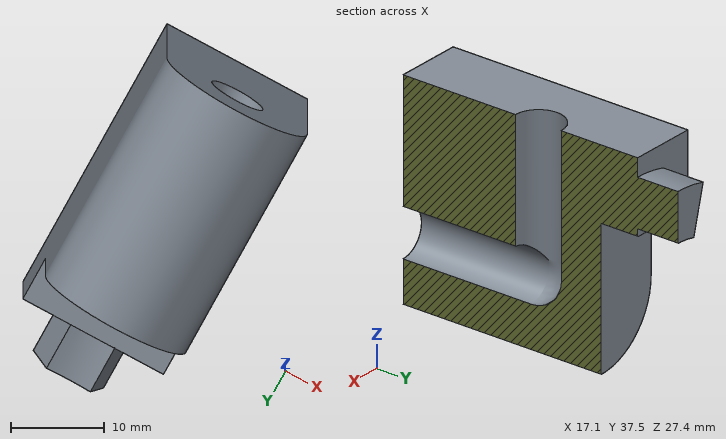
import cadquery as cq
import math

width = 17.1
round_radius = width / 2
total_height = 27.35
top_z = total_height - round_radius
body_length = 32.0

lower_length = 27.0
step_z = top_z / 2

tab_length = 5.5
tab_outer_radius = 16.5
tab_inner_radius = 10.3
tab_half_angle = math.radians(15)

bore_diameter = 6.2
bore_radius = bore_diameter / 2
bore_exit_y = lower_length - round_radius
bend_radius = 1.0
bend_angle = 90


def make_body():
    """D-shaped profile along Y, with the step removed under the back end."""
    body = (
        cq.Workplane("XZ")
        .moveTo(-round_radius, 0)
        .lineTo(-round_radius, top_z)
        .lineTo(round_radius, top_z)
        .lineTo(round_radius, 0)
        .threePointArc((0, -round_radius), (-round_radius, 0))
        .close()
        .extrude(-body_length)
    )
    step = cq.Workplane("XY").box(
        width,
        body_length - lower_length,
        step_z + round_radius,
        centered=(True, False, False),
    ).translate((0, lower_length, -round_radius))
    return body.cut(step)


def sector_point(radius, angle):
    """Point in the XZ plane at an angle measured from +Z."""
    return (radius * math.sin(angle), radius * math.cos(angle))


def make_tab():
    """Ring sector with radial sides, standing out from the back face."""
    return (
        cq.Workplane("XZ", origin=(0, body_length, 0))
        .moveTo(*sector_point(tab_inner_radius, -tab_half_angle))
        .lineTo(*sector_point(tab_outer_radius, -tab_half_angle))
        .threePointArc((0, tab_outer_radius), sector_point(tab_outer_radius, tab_half_angle))
        .lineTo(*sector_point(tab_inner_radius, tab_half_angle))
        .threePointArc((0, tab_inner_radius), sector_point(tab_inner_radius, -tab_half_angle))
        .close()
        .extrude(-tab_length)
    )


def make_passage():
    """Horizontal and vertical bores joined by a tight quarter bend."""
    bend_y = bore_exit_y - bend_radius
    bend_z = bend_radius
    horizontal = cq.Workplane("XZ").circle(bore_radius).extrude(-bend_y)
    vertical = (
        cq.Workplane("XY", origin=(0, bore_exit_y, bend_z))
        .circle(bore_radius)
        .extrude(top_z - bend_z)
    )
    chord_half = math.sqrt(bore_radius**2 - bend_radius**2)
    bend = (
        cq.Workplane("XZ", origin=(0, bend_y, 0))
        .moveTo(-chord_half, bend_z)
        .threePointArc((0, -bore_radius), (chord_half, bend_z))
        .close()
        .revolve(bend_angle, (-chord_half, bend_z), (chord_half, bend_z))
    )
    return horizontal.union(vertical).union(bend)


result = make_body().union(make_tab()).cut(make_passage())